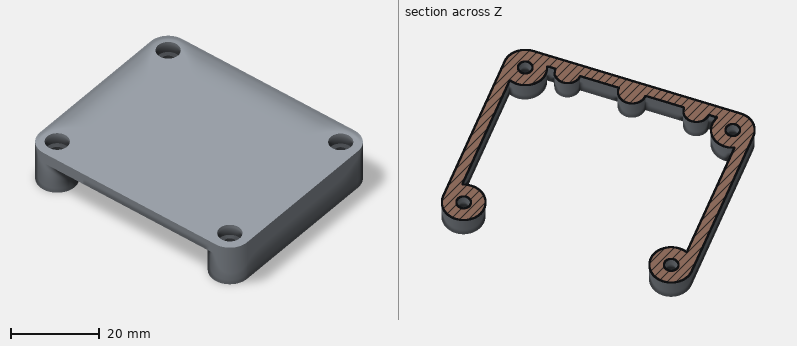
import cadquery as cq

LENGTH = 60.0
WIDTH = 50.0
HEIGHT = 11.0
CORNER_RADIUS = 5.0
LID_THICKNESS = 3.0
SKIRT_HEIGHT = HEIGHT - LID_THICKNESS

WALL_THICKNESS = 3.0
BACK_WALL_INNER_Y = WIDTH / 2 - WALL_THICKNESS

COLUMN_X = LENGTH / 2 - CORNER_RADIUS
COLUMN_Y = WIDTH / 2 - CORNER_RADIUS
COLUMN_CENTERS = [(x, y) for x in (-COLUMN_X, COLUMN_X) for y in (-COLUMN_Y, COLUMN_Y)]
SCREW_HOLE_DIAMETER = 3.2
COUNTERBORE_DIAMETER = 5.7
COUNTERBORE_DEPTH = 3.0

MIDDLE_POST_DIAMETER = 6.5
SIDE_POST_DIAMETER = 6.0
SIDE_POST_X = 15.5


def rounded_block():
    """Outer envelope of the cover."""
    block = cq.Workplane("XY").box(LENGTH, WIDTH, HEIGHT, centered=(True, True, False))
    return block.edges("|Z").fillet(CORNER_RADIUS)


def cavity():
    """Space between the walls and under the lid, running out past the -Y side."""
    length = LENGTH - 2 * WALL_THICKNESS
    center_y = BACK_WALL_INNER_Y - WIDTH / 2
    return cq.Workplane("XY").center(0, center_y).rect(length, WIDTH).extrude(SKIRT_HEIGHT)


def front_opening():
    """Strip under the lid in front of the side walls, which end at the -Y column axes."""
    center_y = -COLUMN_Y - CORNER_RADIUS / 2
    return cq.Workplane("XY").center(0, center_y).rect(LENGTH, CORNER_RADIUS).extrude(SKIRT_HEIGHT)


def corner_columns():
    return cq.Workplane("XY").pushPoints(COLUMN_CENTERS).circle(CORNER_RADIUS).extrude(HEIGHT)


def wall_post(x, diameter):
    """Post centered on the wall's inner face, so that half of it stands proud."""
    post = cq.Workplane("XY").center(x, BACK_WALL_INNER_Y).circle(diameter / 2).extrude(SKIRT_HEIGHT)
    return post.intersect(rounded_block())


def add_wall_posts(body):
    body = body.union(wall_post(0, MIDDLE_POST_DIAMETER))
    for x in (-SIDE_POST_X, SIDE_POST_X):
        body = body.union(wall_post(x, SIDE_POST_DIAMETER))
    return body


def add_screw_holes(body):
    return (
        body.faces(">Z")
        .workplane(origin=(0, 0, HEIGHT))
        .pushPoints(COLUMN_CENTERS)
        .cboreHole(SCREW_HOLE_DIAMETER, COUNTERBORE_DIAMETER, COUNTERBORE_DEPTH)
    )


cover = rounded_block().cut(cavity()).cut(front_opening())
cover = cover.union(corner_columns(), clean=True)
cover = add_wall_posts(cover)
result = add_screw_holes(cover).clean()